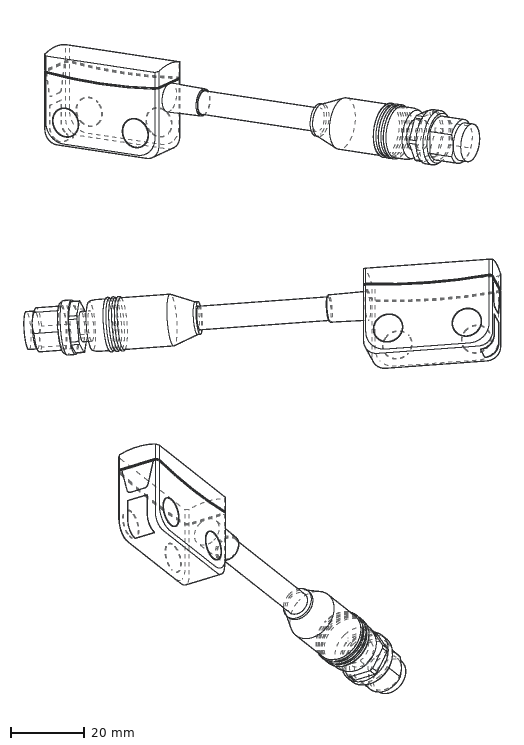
import cadquery as cq
import math

TOTAL_LENGTH = 130.5
HOUSING_LENGTH = 35.9
HOUSING_WIDTH = 13.0
HOUSING_HEIGHT = 26.0
AXIS_Z = HOUSING_HEIGHT - 9.5

CORNER_RADIUS = 3.9
FACE_CORNER_RADIUS = 5.5
EDGE_CHAMFER = 0.8
CROWN_DROP = 1.0
PARTING_END_Z = 20.2
PARTING_DIP = 1.0
SEAM_HEIGHT = 0.4
SEAM_DEPTH = 0.3

RECESS_DEPTH = 0.1
RING_OUTER_DIAMETER = 8.2
RING_INNER_DIAMETER = 8.0
RING_SPACING = 21.9
RING_Z = 6.9
KEY_HALF_WIDTH = 3.1
KEY_TOP_Z = 10.0
PANEL_TOP_HALF_WIDTH = 5.1
PANEL_BOTTOM_HALF_WIDTH = 3.1
PANEL_BOTTOM_Z = 12.4
PANEL_CORNER_RADIUS = 1.2

SLEEVE_ROOT_DIAMETER = 8.0
SLEEVE_TIP_DIAMETER = 7.6
SLEEVE_TAPER_START = HOUSING_LENGTH + 1.0
SLEEVE_END = 46.7
SLEEVE_TIP_CHAMFER = 0.3

CABLE_DIAMETER = 6.5

GRIP_START = 82.7
GRIP_COLLAR_DIAMETER = 9.0
GRIP_CONE_START = GRIP_START + 0.8
GRIP_CONE_END = 90.3
GRIP_DIAMETER = 14.2
GRIP_TAPER_START = 111.2
GRIP_RIM_START = 112.3
GRIP_RIM_DIAMETER = 13.8
GRIP_END = 112.9
GRIP_END_DIAMETER = 13.3
FIRST_RIDGE_X = 104.5
RIDGE_PITCH = 1.6
RIDGE_COUNT = 3
RIDGE_SECTION_DIAMETER = 0.8

NECK_DIAMETER = 8.4
HEX_START = 115.3
HEX_ACROSS_FLATS = 12.8
HEX_TURN = 30
HEX_CORNER_DIAMETER = 14.2
FLANGE_START = 117.7
FLANGE_DIAMETER = 15.0
FLANGE_TAPER_START = 119.9
FLANGE_END = 120.8
FLANGE_END_DIAMETER = 13.7
BARREL_DIAMETER = 12.1
BARREL_FLATS = 10.5
BARREL_TAPER_START = 127.6
NOSE_START = 128.1
NOSE_DIAMETER = 10.5


def turned(stations):
    """Solid of revolution about the cable axis through (x, diameter) stations."""
    outline = [(x, diameter / 2) for x, diameter in stations]
    first_x = stations[0][0]
    last_x = stations[-1][0]
    return (
        cq.Workplane("XZ", origin=(0, 0, AXIS_Z))
        .polyline([(first_x, 0)] + outline + [(last_x, 0)])
        .close()
        .revolve(360, (0, 0, 0), (1, 0, 0))
    )


def side_outline(y, inset, radius):
    """Housing outline at the given Y, set in at the ends and bottom, with round lower corners."""
    left = inset
    right = HOUSING_LENGTH - inset
    bottom = inset
    mid_point = radius * (1 - math.sqrt(0.5))
    return (
        cq.Workplane("XZ", origin=(0, y, 0))
        .moveTo(left, HOUSING_HEIGHT)
        .lineTo(left, bottom + radius)
        .threePointArc((left + mid_point, bottom + mid_point), (left + radius, bottom))
        .lineTo(right - radius, bottom)
        .threePointArc((right - mid_point, bottom + mid_point), (right, bottom + radius))
        .lineTo(right, HOUSING_HEIGHT)
        .close()
    )


def side_block(inset):
    """Housing block with beveled side faces, shrunk by inset except at the top."""
    half_width = HOUSING_WIDTH / 2 - inset
    bevel_start = half_width - EDGE_CHAMFER
    block = side_outline(0, inset, CORNER_RADIUS).extrude(bevel_start, both=True)
    for side in (-1, 1):
        outer = side_outline(side * bevel_start, inset, CORNER_RADIUS).val()
        face = side_outline(side * half_width, inset + EDGE_CHAMFER, FACE_CORNER_RADIUS).val()
        block = block.union(cq.Workplane(cq.Solid.makeLoft([outer, face], True)))
    return block


def above_parting(offset):
    """Full-width region above the parting curve, raised by offset."""
    end_z = PARTING_END_Z + offset
    return (
        cq.Workplane("XZ")
        .moveTo(0, end_z)
        .threePointArc((HOUSING_LENGTH / 2, end_z - PARTING_DIP), (HOUSING_LENGTH, end_z))
        .lineTo(HOUSING_LENGTH, HOUSING_HEIGHT)
        .lineTo(0, HOUSING_HEIGHT)
        .close()
        .extrude(HOUSING_WIDTH / 2, both=True)
    )


def crown():
    """Region under the crowned top."""
    half_width = HOUSING_WIDTH / 2
    side_z = HOUSING_HEIGHT - CROWN_DROP
    return (
        cq.Workplane("YZ")
        .moveTo(-half_width, 0)
        .lineTo(-half_width, side_z)
        .threePointArc((0, HOUSING_HEIGHT), (half_width, side_z))
        .lineTo(half_width, 0)
        .close()
        .extrude(HOUSING_LENGTH)
    )


def make_lid():
    lid = side_block(0).intersect(above_parting(0)).intersect(crown())
    seam = side_block(0).cut(side_block(SEAM_DEPTH)).cut(above_parting(SEAM_HEIGHT))
    return lid.cut(seam)


def ring_grooves():
    """Fine round grooves on both side faces."""
    middle_x = HOUSING_LENGTH / 2
    centers = [(middle_x + side * RING_SPACING / 2, RING_Z) for side in (-1, 1)]
    rings = (
        cq.Workplane("XZ")
        .pushPoints(centers)
        .circle(RING_OUTER_DIAMETER / 2)
        .circle(RING_INNER_DIAMETER / 2)
        .extrude(HOUSING_WIDTH / 2, both=True)
    )
    return rings.intersect(side_block(0)).cut(side_block(RECESS_DEPTH))


def key_recess():
    """Shallow groove down the end face and around the lower corner."""
    reach = cq.Workplane("XY").box(
        CORNER_RADIUS, 2 * KEY_HALF_WIDTH, KEY_TOP_Z, centered=(False, True, False)
    )
    return reach.cut(side_block(RECESS_DEPTH))


def panel_recess():
    """Shallow tapered panel on the end face, open to the parting line."""
    return (
        cq.Workplane("YZ")
        .polyline([
            (-PANEL_TOP_HALF_WIDTH, PARTING_END_Z),
            (-PANEL_BOTTOM_HALF_WIDTH, PANEL_BOTTOM_Z),
            (PANEL_BOTTOM_HALF_WIDTH, PANEL_BOTTOM_Z),
            (PANEL_TOP_HALF_WIDTH, PARTING_END_Z),
        ])
        .close()
        .extrude(RECESS_DEPTH)
        .edges("|X and <Z")
        .fillet(PANEL_CORNER_RADIUS)
    )


def make_sleeve():
    return turned([
        (HOUSING_LENGTH, SLEEVE_ROOT_DIAMETER),
        (SLEEVE_TAPER_START, SLEEVE_ROOT_DIAMETER),
        (SLEEVE_END - SLEEVE_TIP_CHAMFER, SLEEVE_TIP_DIAMETER),
        (SLEEVE_END, SLEEVE_TIP_DIAMETER - 2 * SLEEVE_TIP_CHAMFER),
    ])


def make_housing():
    housing = side_block(0).cut(above_parting(0))
    housing = housing.cut(ring_grooves()).cut(key_recess()).cut(panel_recess())
    return housing.union(make_sleeve())


def make_cable():
    return turned([(SLEEVE_END, CABLE_DIAMETER), (GRIP_START, CABLE_DIAMETER)])


def grip_ridge(x):
    """Round ridge ring around the grip at position x."""
    return (
        cq.Workplane("XZ", origin=(x, 0, AXIS_Z + GRIP_DIAMETER / 2))
        .circle(RIDGE_SECTION_DIAMETER / 2)
        .revolve(360, (0, -GRIP_DIAMETER / 2, 0), (1, -GRIP_DIAMETER / 2, 0))
    )


def make_grip():
    grip = turned([
        (GRIP_START, GRIP_COLLAR_DIAMETER),
        (GRIP_CONE_START, GRIP_COLLAR_DIAMETER),
        (GRIP_CONE_END, GRIP_DIAMETER),
        (GRIP_TAPER_START, GRIP_DIAMETER),
        (GRIP_RIM_START, GRIP_RIM_DIAMETER),
        (GRIP_END, GRIP_END_DIAMETER),
    ])
    for index in range(RIDGE_COUNT):
        grip = grip.union(grip_ridge(FIRST_RIDGE_X + index * RIDGE_PITCH))
    return grip


def hex_collar():
    """Hexagon with flats facing up and down and rounded corners."""
    length = FLANGE_START - HEX_START
    hexagon = (
        cq.Workplane("YZ", origin=(HEX_START, 0, AXIS_Z))
        .transformed(rotate=(0, 0, HEX_TURN))
        .polygon(6, HEX_ACROSS_FLATS, circumscribed=True)
        .extrude(length)
    )
    corner_round = turned([
        (HEX_START, HEX_CORNER_DIAMETER),
        (FLANGE_START, HEX_CORNER_DIAMETER),
    ])
    return hexagon.intersect(corner_round)


def flatted_barrel():
    """Round barrel tapering to the nose, flattened on both sides."""
    barrel = turned([
        (FLANGE_END, BARREL_DIAMETER),
        (BARREL_TAPER_START, BARREL_DIAMETER),
        (NOSE_START, NOSE_DIAMETER),
    ])
    slab = cq.Workplane("XY", origin=(FLANGE_END, 0, AXIS_Z)).box(
        NOSE_START - FLANGE_END, BARREL_FLATS, BARREL_DIAMETER, centered=(False, True, True)
    )
    return barrel.intersect(slab)


def make_connector():
    neck = turned([(GRIP_END, NECK_DIAMETER), (HEX_START, NECK_DIAMETER)])
    flange = turned([
        (FLANGE_START, FLANGE_DIAMETER),
        (FLANGE_TAPER_START, FLANGE_DIAMETER),
        (FLANGE_END, FLANGE_END_DIAMETER),
    ])
    nose = turned([(NOSE_START, NOSE_DIAMETER), (TOTAL_LENGTH, NOSE_DIAMETER)])
    return neck.union(hex_collar()).union(flange).union(flatted_barrel()).union(nose)


housing = make_housing()
lid = make_lid()
cable = make_cable()
grip = make_grip()
connector = make_connector()

result = cq.Compound.makeCompound([
    housing.val(),
    lid.val(),
    cable.val(),
    grip.val(),
    connector.val(),
])